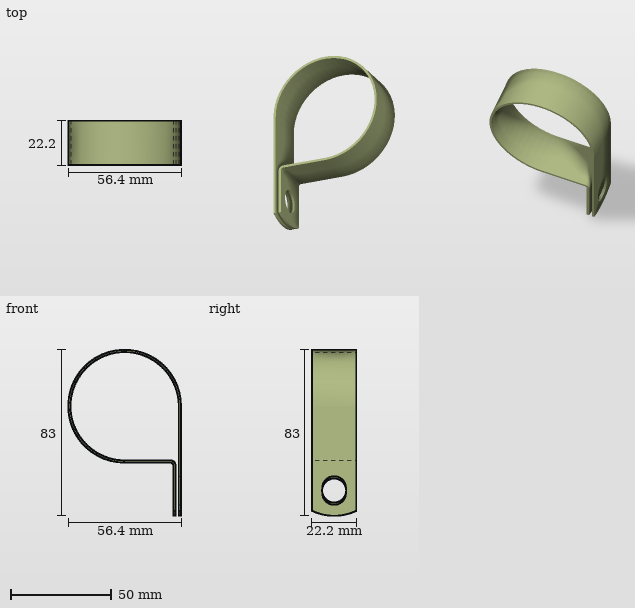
import cadquery as cq
import math


loop_bore = 53.975
strip_thickness = 1.219
strip_width = 22.225
tab_gap = 1.588
bend_inner_radius = strip_thickness
hole_diameter = 11.906
slot_length = 14.288
hole_center_to_tab_end = 12.7
loop_center_to_tab_end = 54.765
tab_end_radius = 25.4

inner_radius = loop_bore / 2
outer_radius = inner_radius + strip_thickness
bend_outer_radius = bend_inner_radius + strip_thickness
short_tab_outer_x = inner_radius - tab_gap
short_tab_inner_x = short_tab_outer_x - strip_thickness
bend_center_x = short_tab_outer_x - bend_outer_radius
bend_center_z = -inner_radius - bend_outer_radius
tab_end_z = -loop_center_to_tab_end
hole_z = tab_end_z + hole_center_to_tab_end


def on_circle(center_x, center_z, radius, angle):
    """Point on a circle in the XZ plane, angle in degrees from +X toward +Z."""
    radians = math.radians(angle)
    return center_x + radius * math.cos(radians), center_z + radius * math.sin(radians)


def make_strip():
    """Bent strip: long tab, three-quarter loop, flat floor, bend and short tab."""
    loop_middle = 135
    bend_middle = 45
    return (
        cq.Workplane("XZ")
        .moveTo(outer_radius, tab_end_z)
        .lineTo(outer_radius, 0)
        .threePointArc(on_circle(0, 0, outer_radius, loop_middle), (0, -outer_radius))
        .lineTo(bend_center_x, -outer_radius)
        .threePointArc(
            on_circle(bend_center_x, bend_center_z, bend_inner_radius, bend_middle),
            (short_tab_inner_x, bend_center_z),
        )
        .lineTo(short_tab_inner_x, tab_end_z)
        .lineTo(short_tab_outer_x, tab_end_z)
        .lineTo(short_tab_outer_x, bend_center_z)
        .threePointArc(
            on_circle(bend_center_x, bend_center_z, bend_outer_radius, bend_middle),
            (bend_center_x, -inner_radius),
        )
        .lineTo(0, -inner_radius)
        .threePointArc(on_circle(0, 0, inner_radius, loop_middle), (inner_radius, 0))
        .lineTo(inner_radius, tab_end_z)
        .close()
        .extrude(strip_width / 2, both=True)
    )


def make_tab_outline():
    """Block as wide as the strip, with the rounded tab end as its lower face."""
    half_width = strip_width / 2
    end_rise = tab_end_radius - math.sqrt(tab_end_radius**2 - half_width**2)
    corner_z = tab_end_z + end_rise
    return (
        cq.Workplane("YZ")
        .moveTo(-half_width, outer_radius)
        .lineTo(-half_width, corner_z)
        .threePointArc((0, tab_end_z), (half_width, corner_z))
        .lineTo(half_width, outer_radius)
        .close()
        .extrude(outer_radius, both=True)
    )


def make_screw_hole():
    """Round hole through the short tab, ending in the gap between the tabs."""
    gap_middle_x = inner_radius - tab_gap / 2
    return cq.Workplane("YZ").center(0, hole_z).circle(hole_diameter / 2).extrude(gap_middle_x)


def make_screw_slot():
    """Slot through the long tab, as wide as the round hole and lengthened along Z for adjustment."""
    return (
        cq.Workplane("YZ")
        .workplane(offset=inner_radius)
        .center(0, hole_z)
        .slot2D(slot_length, hole_diameter, angle=90)
        .extrude(strip_thickness)
    )


strip = make_strip().intersect(make_tab_outline())
result = strip.cut(make_screw_hole()).cut(make_screw_slot())